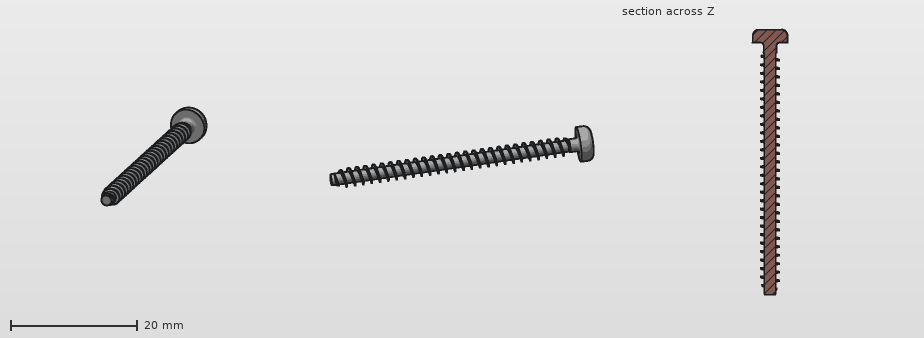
import cadquery as cq
import math

total_length = 42.1
head_diameter = 5.6
head_height = 2.1
head_rim_height = 1.05
head_crown_radius = 1.98

neck_radius = 1.05
neck_length = 1.47
neck_fillet = 0.45
neck_taper_length = 0.25
core_radius = 0.93
tip_radius = 0.85
tip_length = 0.4

thread_radius = 1.47
pitch = 1.35
crest_width = 0.13
root_width = 0.35
root_overlap = 0.13
thread_start = 1.45
thread_turns = 28.3
run_in_length = 1.1
run_out_length = 2.0
envelope_start_radius = 0.95
envelope_end_radius = 0.9
envelope_clearance = 0.13

head_radius = head_diameter / 2
shank_length = total_length - head_height
thread_end = thread_start + thread_turns * pitch


def make_head():
    """Solid head: straight rim and a crown arc tangent to it."""
    crown_height = head_height - head_rim_height
    crown_inset = head_radius - head_crown_radius
    arc_radius = (crown_height**2 + crown_inset**2) / (2 * crown_inset)
    half_angle = math.asin(crown_height / arc_radius) / 2
    arc_middle = (
        head_radius - arc_radius * (1 - math.cos(half_angle)),
        head_rim_height + arc_radius * math.sin(half_angle),
    )
    profile = (
        cq.Workplane("XY")
        .lineTo(head_radius, 0)
        .lineTo(head_radius, head_rim_height)
        .threePointArc(arc_middle, (head_crown_radius, head_height))
        .lineTo(0, head_height)
        .close()
    )
    return profile.revolve(360, (0, 0, 0), (0, 1, 0))


def make_shank():
    """Filleted neck, thread core and tapered tip."""
    fillet_middle = neck_fillet * (1 - math.sqrt(0.5))
    profile = (
        cq.Workplane("XY")
        .lineTo(neck_radius + neck_fillet, 0)
        .threePointArc(
            (neck_radius + fillet_middle, -fillet_middle),
            (neck_radius, -neck_fillet),
        )
        .lineTo(neck_radius, -neck_length)
        .lineTo(core_radius, -neck_length - neck_taper_length)
        .lineTo(core_radius, -shank_length + tip_length)
        .lineTo(tip_radius, -shank_length)
        .lineTo(0, -shank_length)
        .close()
    )
    return profile.revolve(360, (0, 0, 0), (0, 1, 0))


def make_thread():
    """Helical ridge whose crest rises at the neck and fades at the tip."""
    root_radius = core_radius - root_overlap
    corners = [
        (root_radius, -root_width / 2),
        (thread_radius, -crest_width / 2),
        (thread_radius, crest_width / 2),
        (root_radius, root_width / 2),
    ]
    section = cq.Workplane("XZ").polyline(corners).close()
    helix = cq.Wire.makeHelix(pitch, thread_turns * pitch, root_radius)
    ridge = section.sweep(cq.Workplane(helix), isFrenet=True)
    ridge = ridge.rotate((0, 0, 0), (1, 0, 0), 90).translate((0, -thread_start, 0))

    envelope_radius = thread_radius + envelope_clearance
    envelope = (
        cq.Workplane("XY")
        .moveTo(0, -thread_start)
        .lineTo(envelope_start_radius, -thread_start)
        .lineTo(envelope_radius, -thread_start - run_in_length)
        .lineTo(envelope_radius, -thread_end + run_out_length)
        .lineTo(envelope_end_radius, -thread_end)
        .lineTo(0, -thread_end)
        .close()
        .revolve(360, (0, 0, 0), (0, 1, 0))
    )
    return ridge.intersect(envelope)


result = make_head().union(make_shank()).union(make_thread())